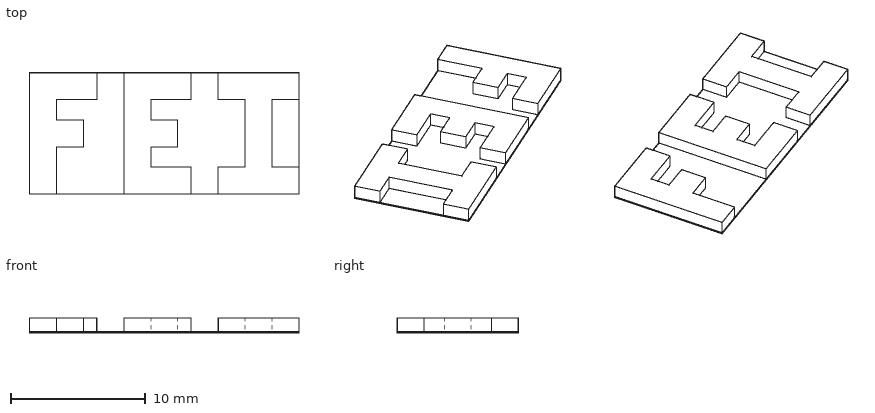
import cadquery as cq

plate_length = 20.0
plate_width = 9.0
plate_thickness = 0.1
letter_thickness = 1.0
stroke = 2.0
long_arm = 5.0
middle_arm = 4.0
serif_length = 6.0
letter_gap = 2.0

f_left = 0.0
e_left = f_left + long_arm + letter_gap
i_left = e_left + long_arm + letter_gap
bottom_bar_y = 0.0
middle_bar_y = (plate_width - stroke) / 2
top_bar_y = plate_width - stroke


def block(x, y, z, length, width, height):
    """Box with its lowest corner at (x, y, z)."""
    return cq.Workplane("XY").box(length, width, height, centered=False).translate((x, y, z))


def upright(x):
    """Full-width letter stem standing on the plate."""
    return block(x, 0, plate_thickness, stroke, plate_width, letter_thickness)


def bar(x, y, length):
    """Letter bar along X standing on the plate."""
    return block(x, y, plate_thickness, length, stroke, letter_thickness)


def make_plate():
    return block(0, 0, 0, plate_length, plate_width, plate_thickness)


def make_letter_f(left):
    letter = upright(left)
    letter = letter.union(bar(left, top_bar_y, long_arm))
    return letter.union(bar(left, middle_bar_y, middle_arm))


def make_letter_e(left):
    return make_letter_f(left).union(bar(left, bottom_bar_y, long_arm))


def make_letter_i(left):
    letter = upright(left + (serif_length - stroke) / 2)
    for y in (bottom_bar_y, top_bar_y):
        letter = letter.union(bar(left, y, serif_length))
    return letter


plate = make_plate()
letter_f = make_letter_f(f_left)
letter_e = make_letter_e(e_left)
letter_i = make_letter_i(i_left)

result = cq.Compound.makeCompound([plate.val(), letter_f.val(), letter_e.val(), letter_i.val()])